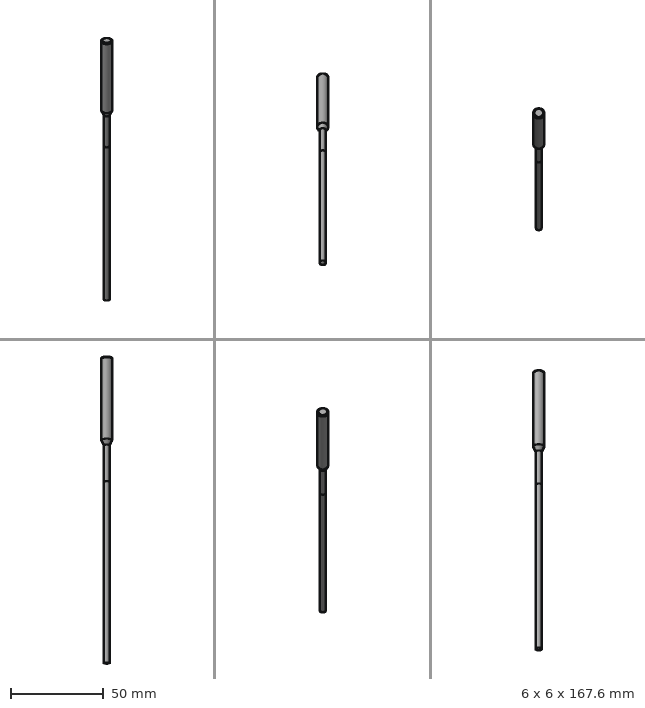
import cadquery as cq
import math

total_length = 167.6
shank_radius = 6.0 / 2
shank_length = 45.0
shank_chamfer = 0.6
neck_length = 3.03
drill_radius = 3.3 / 2
holder_length = 68.0
point_angle = 140.0

point_height = drill_radius / math.tan(math.radians(point_angle / 2))
shank_bottom = total_length - shank_length
neck_bottom = shank_bottom - neck_length
joint_height = total_length - holder_length


def revolve_about_axis(profile):
    """Turn an XZ half profile into a solid of revolution about Z."""
    return profile.close().revolve(360, (0, 0), (0, 1))


def make_holder():
    """Chamfered shank, conical neck and slim extension down to the joint."""
    profile = (
        cq.Workplane("XZ")
        .moveTo(0, joint_height)
        .lineTo(drill_radius, joint_height)
        .lineTo(drill_radius, neck_bottom)
        .lineTo(shank_radius, shank_bottom)
        .lineTo(shank_radius, total_length - shank_chamfer)
        .lineTo(shank_radius - shank_chamfer, total_length)
        .lineTo(0, total_length)
    )
    return revolve_about_axis(profile)


def make_cutter():
    """Straight cutting rod ending in a conical drill point."""
    profile = (
        cq.Workplane("XZ")
        .lineTo(drill_radius, point_height)
        .lineTo(drill_radius, joint_height)
        .lineTo(0, joint_height)
    )
    return revolve_about_axis(profile)


holder = make_holder()
cutter = make_cutter()

result = cq.Compound.makeCompound([holder.val(), cutter.val()])